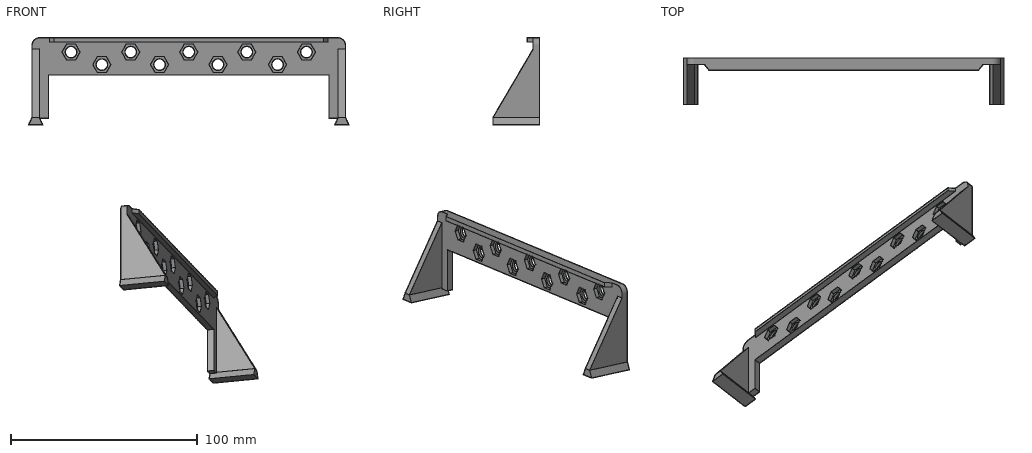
import cadquery as cq
import math

total_length = 171.8
total_depth = 25.0
total_height = 46.7

plate_length = 168.0
plate_thickness = 3.6
plate_corner_radius = 4.1
post_width = 9.0
post_bottom = 3.5
crossbar_bottom = 26.6

lip_length = 149.5
lip_end_slant = 2.5
lip_depth = 3.1
lip_height = 2.4

foot_height = 4.0
rib_width = 4.0
rib_top = 40.5

hole_diameter = 6.0
nut_width = 8.5
nut_pocket_depth = 2.0
upper_row_height = 39.0
lower_row_height = 32.3
upper_row_offsets = (-63.0, -31.1, 0.0, 31.1, 63.0)
lower_row_offsets = (-46.5, -15.6, 15.6, 47.5)

nut_corner_diameter = nut_width / math.cos(math.pi / 6)
leg_center = (plate_length - rib_width) / 2
foot_bottom_width = total_length - plate_length + rib_width


def make_plate():
    """Crossbar and both posts, with the two upper corners rounded."""
    plate_height = total_height - post_bottom
    plate = (
        cq.Workplane("XY")
        .box(plate_length, plate_thickness, plate_height, centered=(True, False, False))
        .translate((0, -plate_thickness, post_bottom))
        .edges("|Y and >Z")
        .fillet(plate_corner_radius)
    )
    opening = cq.Workplane("XY").box(
        plate_length - 2 * post_width, total_depth, 2 * crossbar_bottom
    )
    return plate.cut(opening)


def make_lip():
    """Ledge in front of the top edge, narrowing toward its front."""
    back_half = lip_length / 2
    front_half = back_half - lip_end_slant
    front = -plate_thickness - lip_depth
    return (
        cq.Workplane("XY", origin=(0, 0, total_height - lip_height))
        .moveTo(-back_half, 0)
        .lineTo(-back_half, -plate_thickness)
        .lineTo(-front_half, front)
        .lineTo(front_half, front)
        .lineTo(back_half, -plate_thickness)
        .lineTo(back_half, 0)
        .close()
        .extrude(lip_height)
    )


def make_leg(side):
    """Triangular rib on a flared foot; side is -1 for left and 1 for right."""
    rib = (
        cq.Workplane("YZ", origin=(side * leg_center - rib_width / 2, 0, 0))
        .moveTo(0, foot_height)
        .lineTo(-total_depth, foot_height)
        .lineTo(-plate_thickness, rib_top)
        .lineTo(0, rib_top)
        .close()
        .extrude(rib_width)
    )
    foot = (
        cq.Workplane("XZ", origin=(side * leg_center, 0, 0))
        .moveTo(-foot_bottom_width / 2, 0)
        .lineTo(foot_bottom_width / 2, 0)
        .lineTo(rib_width / 2, foot_height)
        .lineTo(-rib_width / 2, foot_height)
        .close()
        .extrude(total_depth)
    )
    return rib.union(foot)


def make_bolt_holes(offsets, height):
    """Through holes and their nut pockets for one row at the given height."""
    centers = [(offset, height) for offset in offsets]
    holes = (
        cq.Workplane("XZ").pushPoints(centers).circle(hole_diameter / 2).extrude(plate_thickness)
    )
    pockets = (
        cq.Workplane("XZ", origin=(0, nut_pocket_depth - plate_thickness, 0))
        .pushPoints(centers)
        .polygon(6, nut_corner_diameter)
        .extrude(nut_pocket_depth)
    )
    return holes.union(pockets)


result = make_plate().union(make_lip())
for side in (-1, 1):
    result = result.union(make_leg(side))
result = result.cut(make_bolt_holes(upper_row_offsets, upper_row_height))
result = result.cut(make_bolt_holes(lower_row_offsets, lower_row_height))